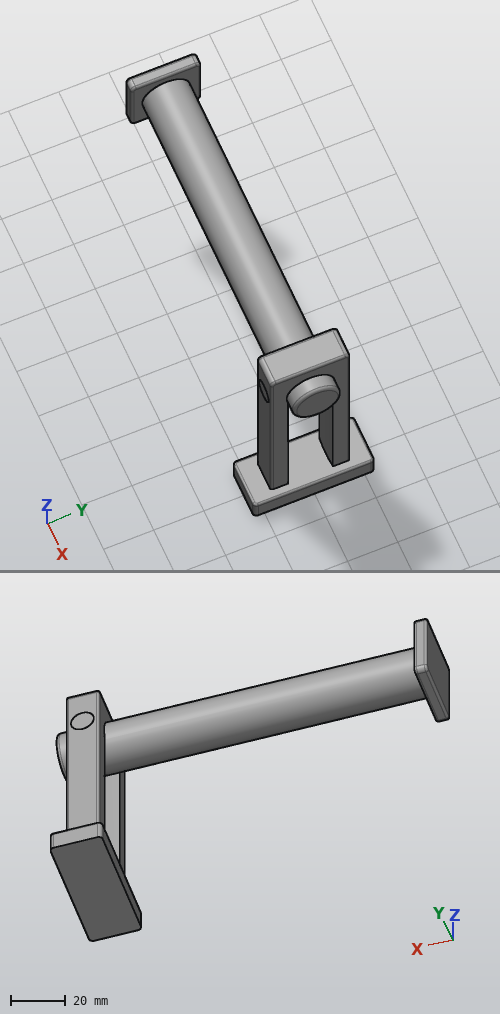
import cadquery as cq

TOTAL_LENGTH = 144.2
TOTAL_HEIGHT = 91.2
ROD_AXIS_Z = 75.3
STAND_CENTRE_X = 131.8

CORNER_RADIUS = 2.0
EDGE_RADIUS = 1.0

BASE_LENGTH = 20.0
BASE_WIDTH = 48.2
BASE_HEIGHT = 8.4
BASE_CORNER_RADIUS = 1.6
BASE_EDGE_RADIUS = 0.9
FRAME_THICKNESS = 12.7
FRAME_WIDTH = 31.7
OPENING_WIDTH = 17.9
LEG_BULGE = 0.3

PLATE_SIZE = 28.0
PLATE_THICKNESS = 5.0
ROD_DIAMETER = 19.0
ROD_END_RADIUS = 1.3
PIN_DIAMETER = 8.8


def make_base():
    base = cq.Workplane("XY").box(BASE_LENGTH, BASE_WIDTH, BASE_HEIGHT, centered=(True, True, False))
    base = base.edges("|Z").fillet(BASE_CORNER_RADIUS)
    base = base.faces(">Z").edges().fillet(BASE_EDGE_RADIUS)
    return base.translate((STAND_CENTRE_X, 0, 0))


def make_frame_block():
    """Upright block above the base, with rounded top corners and softened front and back rims."""
    height = TOTAL_HEIGHT - BASE_HEIGHT
    block = cq.Workplane("XY").box(FRAME_THICKNESS, FRAME_WIDTH, height, centered=(True, True, False))
    block = block.edges("|X and >Z").fillet(CORNER_RADIUS)
    block = block.faces("<X or >X").edges("not <Z").fillet(EDGE_RADIUS)
    return block.translate((STAND_CENTRE_X, 0, BASE_HEIGHT))


def make_leg_opening():
    """Gap between the legs, from the base up to the rod axis, with inward-bowed sides."""
    half_length = FRAME_THICKNESS / 2
    half_width = OPENING_WIDTH / 2
    waist = half_width - LEG_BULGE
    return (
        cq.Workplane("XY", origin=(STAND_CENTRE_X, 0, BASE_HEIGHT))
        .moveTo(-half_length, -half_width)
        .threePointArc((0, -waist), (half_length, -half_width))
        .lineTo(half_length, half_width)
        .threePointArc((0, waist), (-half_length, half_width))
        .close()
        .extrude(ROD_AXIS_Z - BASE_HEIGHT)
    )


def make_bar():
    """Round bar from the back of the end plate to the free end, whose rim is rounded."""
    bar = (
        cq.Workplane("YZ", origin=(PLATE_THICKNESS, 0, ROD_AXIS_Z))
        .circle(ROD_DIAMETER / 2)
        .extrude(TOTAL_LENGTH - PLATE_THICKNESS)
    )
    return bar.faces(">X").edges().fillet(ROD_END_RADIUS)


def make_cross_pin():
    """Pin across the bar that ends flush with both sides of the frame."""
    return (
        cq.Workplane("XZ", origin=(STAND_CENTRE_X, 0, ROD_AXIS_Z))
        .circle(PIN_DIAMETER / 2)
        .extrude(FRAME_WIDTH / 2, both=True)
    )


def make_end_plate():
    plate = cq.Workplane("XY").box(PLATE_THICKNESS, PLATE_SIZE, PLATE_SIZE)
    plate = plate.edges("|X").fillet(CORNER_RADIUS)
    plate = plate.faces("<X or >X").edges().fillet(EDGE_RADIUS)
    return plate.translate((PLATE_THICKNESS / 2, 0, ROD_AXIS_Z))


def make_rod():
    return make_end_plate().union(make_bar()).union(make_cross_pin())


def make_stand():
    """Base and frame in one piece, bored for the bar and its cross pin."""
    frame = make_frame_block().cut(make_leg_opening())
    return make_base().union(frame).cut(make_bar()).cut(make_cross_pin())


stand = make_stand()
rod = make_rod()

result = cq.Compound.makeCompound([stand.solids().val(), rod.solids().val()])